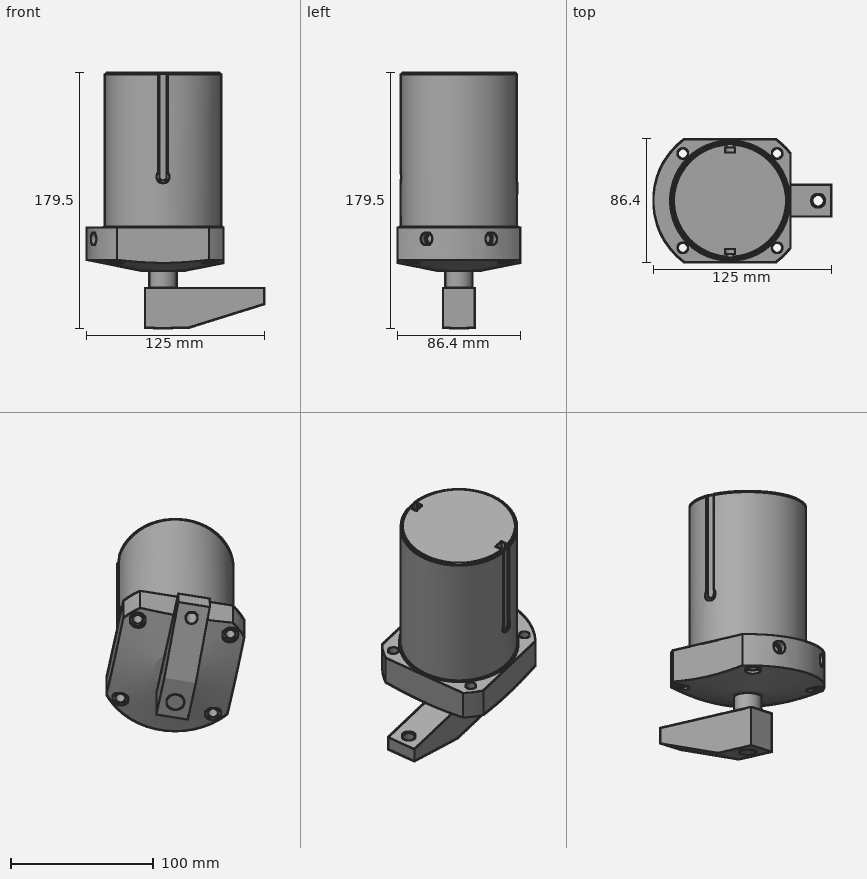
import cadquery as cq

barrel_radius = 41.0
skin_thickness = 0.5
barrel_height = 108.5
skin_top_drop = 1.3
core_chamfer = 1.0
weld_width = 1.0
weld_height = 0.5

keyhole_width = 7.0
keyhole_end_diameter = 9.0
keyhole_end_z = 35.4
pocket_neck_width = 5.2
pocket_inner_radius = 33.8
pocket_shoulder_radius = 37.4
pocket_outer_radius = 39.7

flange_radius = 53.9
flange_width = 86.4
flange_flat_x = 42.5
flange_thickness = 22.8
nose_radius = 15.0
nose_height = 7.7

mount_hole_spacing = 66.0
mount_hole_diameter = 7.2
spotface_diameter = 11.1

port_diameter = 9.0
port_mouth_depth = 7.4
port_inner_diameter = 8.6
port_depth = 10.5
port_drop = 8.0
port_angle = 25

rod_radius = 9.7
rod_shoulder_chamfer = 0.4
shank_radius = 6.3
shank_overhang = 0.5

arm_top_z = -42.5
arm_height = 28.0
arm_width = 22.5
arm_back_x = -12.8
arm_front_x = 71.1
arm_front_height = 11.3
arm_slope_start_x = 17.8
tip_hole_x = 61.8
tip_hole_diameter = 8.3
tip_hole_chamfer = 0.7

core_radius = barrel_radius - skin_thickness
nose_z = -flange_thickness - nose_height
arm_bottom_z = arm_top_z - arm_height


def make_barrel():
    return (
        cq.Workplane("XZ")
        .lineTo(barrel_radius + weld_width, 0)
        .lineTo(barrel_radius, weld_height)
        .lineTo(barrel_radius, barrel_height - skin_top_drop)
        .lineTo(core_radius, barrel_height - skin_top_drop)
        .lineTo(core_radius, barrel_height - core_chamfer)
        .lineTo(core_radius - core_chamfer, barrel_height)
        .lineTo(0, barrel_height)
        .close()
        .revolve(360, (0, 0), (0, 1))
    )


def make_flange():
    disc = (
        cq.Workplane("XZ")
        .lineTo(flange_radius, 0)
        .lineTo(flange_radius, -flange_thickness)
        .lineTo(nose_radius, nose_z)
        .lineTo(0, nose_z)
        .close()
        .revolve(360, (0, 0), (0, 1))
    )
    trim = (
        cq.Workplane("XY")
        .center((flange_flat_x - flange_radius) / 2, 0)
        .rect(flange_flat_x + flange_radius, flange_width)
        .extrude(nose_z)
    )
    return disc.intersect(trim)


def make_rod():
    rod_length = nose_z - arm_top_z
    shoulder = cq.Workplane("XY", origin=(0, 0, arm_top_z)).circle(rod_radius).extrude(rod_length)
    shoulder = shoulder.faces("<Z").chamfer(rod_shoulder_chamfer)
    shank_length = arm_height + shank_overhang
    shank = cq.Workplane("XY", origin=(0, 0, arm_top_z)).circle(shank_radius).extrude(-shank_length)
    return shoulder.union(shank)


def make_mount_hole(x, y):
    hole = cq.Workplane("XY", origin=(x, y, 0)).circle(mount_hole_diameter / 2).extrude(nose_z)
    spotface = (
        cq.Workplane("XY", origin=(x, y, -flange_thickness))
        .circle(spotface_diameter / 2)
        .extrude(-nose_height)
    )
    return hole.union(spotface)


def make_port(angle):
    entry = cq.Workplane("YZ", origin=(-flange_radius, 0, -port_drop))
    mouth = entry.circle(port_diameter / 2).extrude(port_mouth_depth)
    inner = entry.circle(port_inner_diameter / 2).extrude(port_depth)
    return mouth.union(inner).rotate((0, 0, 0), (0, 0, 1), angle)


def make_round_ended_cut(width, end_diameter, inner_radius, outer_radius):
    depth = outer_radius - inner_radius
    height = barrel_height - keyhole_end_z
    plane = cq.Workplane("XZ", origin=(0, -inner_radius, keyhole_end_z))
    end = plane.circle(end_diameter / 2).extrude(depth)
    straight = plane.center(0, height / 2).rect(width, height).extrude(depth)
    return straight.union(end)


def make_keyhole():
    core = cq.Workplane("XY").circle(core_radius).extrude(barrel_height)
    cut = make_round_ended_cut(
        keyhole_width, keyhole_end_diameter, pocket_shoulder_radius, barrel_radius + skin_thickness
    )
    return cut.cut(core)


def make_sensor_pocket():
    wide = make_round_ended_cut(
        keyhole_width, keyhole_width, pocket_inner_radius, pocket_shoulder_radius
    )
    neck = make_round_ended_cut(
        pocket_neck_width, pocket_neck_width, pocket_inner_radius, pocket_outer_radius
    )
    return wide.union(neck)


def make_housing():
    housing = make_barrel().union(make_flange()).union(make_rod())
    for side_angle in (0, 180):
        for cut in (make_keyhole(), make_sensor_pocket()):
            housing = housing.cut(cut.rotate((0, 0, 0), (0, 0, 1), side_angle))
    for x_side in (-1, 1):
        for y_side in (-1, 1):
            x = x_side * mount_hole_spacing / 2
            y = y_side * mount_hole_spacing / 2
            housing = housing.cut(make_mount_hole(x, y))
    for angle in (-port_angle, port_angle):
        housing = housing.cut(make_port(angle))
    return housing


def make_arm():
    arm = (
        cq.Workplane("XZ", origin=(0, arm_width / 2, 0))
        .moveTo(arm_back_x, arm_top_z)
        .lineTo(arm_front_x, arm_top_z)
        .lineTo(arm_front_x, arm_top_z - arm_front_height)
        .lineTo(arm_slope_start_x, arm_bottom_z)
        .lineTo(arm_back_x, arm_bottom_z)
        .close()
        .extrude(arm_width)
    )
    shank_hole = cq.Workplane("XY", origin=(0, 0, arm_top_z)).circle(shank_radius).extrude(-arm_height)
    tip = cq.Workplane("XY", origin=(tip_hole_x, 0, arm_top_z))
    tip_hole = tip.circle(tip_hole_diameter / 2).extrude(-arm_height)
    tip_countersink = cq.Workplane("XY").add(
        cq.Solid.makeCone(
            tip_hole_diameter / 2 + tip_hole_chamfer,
            tip_hole_diameter / 2,
            tip_hole_chamfer,
            cq.Vector(tip_hole_x, 0, arm_top_z),
            cq.Vector(0, 0, -1),
        )
    )
    return arm.cut(shank_hole).cut(tip_hole).cut(tip_countersink)


housing = make_housing()
clamp_arm = make_arm()

result = cq.Compound.makeCompound([housing.val(), clamp_arm.val()])